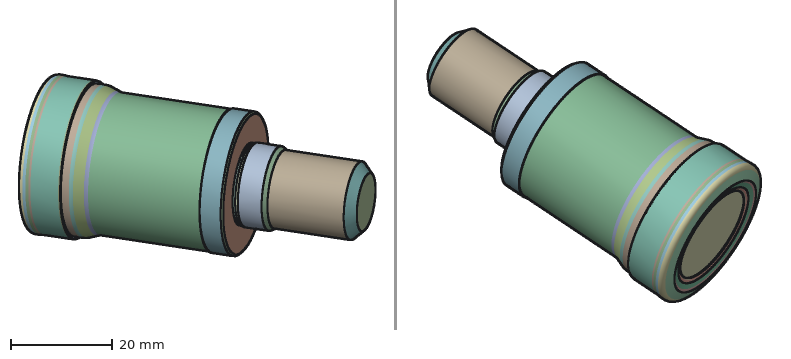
import cadquery as cq
import math


length = 68.0
cap_bead_radius = 32.0 / 2

cap_end = 9.45
cap_radius = 15.9
cap_end_chamfer_length = 0.35
cap_end_chamfer_height = 0.1
bead_start = 1.7
bead_end = 2.3
bead_blend_middle = 2.9
bead_blend_end = 3.3
front_cone_radius = 15.0
front_cone_depth = 0.6

rim_outer_radius = 13.0
rim_inner_radius = 12.4
rim_inner_depth = 0.15
funnel_radius = 11.15
funnel_depth = 0.5
mouth_radius = 10.5
mouth_blend_end = 0.6
opening_radius = 10.1
opening_chamfer_end = 0.75

spigot_radius = 13.6
spigot_face = 0.9

shoulder_radius = 30.7 / 2
shoulder_end = 11.15
shoulder_blend_end = 12.0
barrel_radius = 28.6 / 2
barrel_blend_start = 14.0
barrel_start = 14.8
taper_top_radius = 15.2
taper_bottom_radius = 14.5

flange_radius = 29.0 / 2
flange_start = 38.1
flange_end = 42.9
flange_chamfer = 0.4

neck_radius = 16.6 / 2
neck_end = 43.45
collar_radius = 17.0 / 2
collar_start = 44.05
collar_end = 49.0
stud_radius = 15.8 / 2
stud_start = 50.05
tip_chamfer = 2.05


def arc_to(profile, start, end, bulge):
    """Add an arc from start to end whose middle lies bulge to the left of the chord."""
    dx = end[0] - start[0]
    dr = end[1] - start[1]
    chord = math.hypot(dx, dr)
    middle = (
        (start[0] + end[0]) / 2 - bulge * dr / chord,
        (start[1] + end[1]) / 2 + bulge * dx / chord,
    )
    return profile.threePointArc(middle, end)


def revolve_about_x(profile):
    return profile.close().revolve(360, (0, 0, 0), (1, 0, 0))


def make_cap():
    """Hollow cap with a beaded outer edge and a funnel-shaped mouth."""
    rim_bulge = 0.035
    edge_bulge = 0.305
    mouth_bulge = 0.1
    bead_blend_bulge = 0.01
    rim_inner = (rim_inner_depth, rim_inner_radius)
    rim_outer = (0, rim_outer_radius)
    cone_end = (front_cone_depth, front_cone_radius)
    bead = (bead_start, cap_bead_radius)
    bead_corner = (bead_end, cap_bead_radius)
    blend_middle = (bead_blend_middle, (cap_bead_radius + cap_radius) / 2)
    blend_end = (bead_blend_end, cap_radius)
    funnel_end = (funnel_depth, funnel_radius)
    mouth = (mouth_blend_end, mouth_radius)

    profile = cq.Workplane("XY").moveTo(*rim_inner)
    profile = arc_to(profile, rim_inner, rim_outer, rim_bulge)
    profile = profile.lineTo(*cone_end)
    profile = arc_to(profile, cone_end, bead, edge_bulge)
    profile = profile.lineTo(*bead_corner)
    profile = arc_to(profile, bead_corner, blend_middle, bead_blend_bulge)
    profile = arc_to(profile, blend_middle, blend_end, -bead_blend_bulge)
    profile = (
        profile.lineTo(cap_end - cap_end_chamfer_length, cap_radius)
        .lineTo(cap_end, cap_radius - cap_end_chamfer_height)
        .lineTo(cap_end, spigot_radius)
        .lineTo(spigot_face, spigot_radius)
        .lineTo(spigot_face, opening_radius)
        .lineTo(opening_chamfer_end, opening_radius)
        .lineTo(*mouth)
    )
    profile = arc_to(profile, mouth, funnel_end, mouth_bulge)
    return revolve_about_x(profile)


def make_housing():
    """Barrel with its spigot, flange and stepped stud as one turned piece."""
    blend_bulge = 0.035
    shoulder = (shoulder_end, shoulder_radius)
    taper_top = (shoulder_blend_end, taper_top_radius)
    taper_bottom = (barrel_blend_start, taper_bottom_radius)
    barrel = (barrel_start, barrel_radius)

    profile = (
        cq.Workplane("XY")
        .moveTo(spigot_face, 0)
        .lineTo(spigot_face, spigot_radius)
        .lineTo(cap_end, spigot_radius)
        .lineTo(cap_end, shoulder_radius)
        .lineTo(*shoulder)
    )
    profile = arc_to(profile, shoulder, taper_top, blend_bulge)
    profile = profile.lineTo(*taper_bottom)
    profile = arc_to(profile, taper_bottom, barrel, -blend_bulge)
    profile = (
        profile.lineTo(flange_start, barrel_radius)
        .lineTo(flange_start, flange_radius)
        .lineTo(flange_end - flange_chamfer, flange_radius)
        .lineTo(flange_end, flange_radius - flange_chamfer)
        .lineTo(flange_end, neck_radius)
        .lineTo(neck_end, neck_radius)
        .lineTo(collar_start, collar_radius)
        .lineTo(collar_end, collar_radius)
        .lineTo(stud_start, stud_radius)
        .lineTo(length - tip_chamfer, stud_radius)
        .lineTo(length, stud_radius - tip_chamfer)
        .lineTo(length, 0)
    )
    return revolve_about_x(profile)


cap = make_cap()
housing = make_housing()

result = cq.Compound.makeCompound([cap.val(), housing.val()])